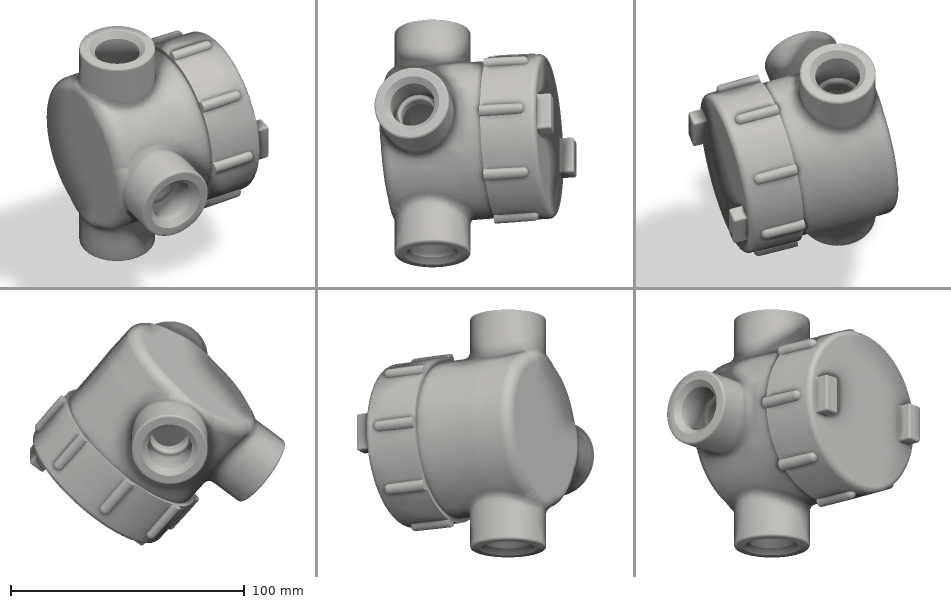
import cadquery as cq
import math


DRAFT_ANGLE = 1.0

BODY_RADIUS = 34.1
BODY_BOTTOM_Y = -17.5
BASE_EDGE_FILLET = 4.9
WALL = 3.6
NECK_RADIUS = 66.4 / 2

HUB_RADIUS = 32.5 / 2
HUB_REACH = 50.8
HUB_RIM_FILLET = 1.0
HUB_ROOT_FILLET = 3.1
HUB_BORE_RADIUS = 19.2 / 2
HUB_MOUTH_CHAMFER = 2.4
HUB_THROAT_RADIUS = 15.1 / 2
HUB_STOP_REACH = 34.5
HUB_STOP_FILLET = 1.5
LOBE_RADIUS = 20.3
LOBE_REACH = 35.7
HUB_DIRECTIONS = [(1, 0, 0), (0, 0, 1), (0, 0, -1)]

LID_RADIUS = 35.6
LID_BOTTOM_Y = 27.0
LID_PARTING_Y = 33.3
LID_TOP_Y = 50.9
LID_TOP_FILLET = 2.2
LID_TOP_THICKNESS = 3.6

RIB_COUNT = 8
RIB_RADIUS = 2.4
RIB_CENTER_RADIUS = 35.8
RIB_TOP_Y = 46.1
RIB_END_FILLET = 2.0

LUG_WIDTH = 7.3
LUG_LENGTH = 16.1
LUG_TOP_Y = 57.1
LUG_CENTER_X = 27.4
LUG_EDGE_FILLET = 0.9
LUG_ROOT_FILLET = 0.6

EDGE_SAMPLES = (0.1, 0.35, 0.65, 0.9)
ON_SURFACE = 0.01
HUB_ROOT_LIMIT = 40.6

DRAFT_SLOPE = math.tan(math.radians(DRAFT_ANGLE))
NECK_TOP_Y = LID_TOP_Y - LID_TOP_THICKNESS
CAVITY_RADIUS = NECK_RADIUS - WALL


def revolve_about_y(profile_points):
    """Revolve a closed (radius, y) outline a full turn about the Y axis."""
    return cq.Workplane("XY").polyline(profile_points).close().revolve(360, (0, 0, 0), (0, 1, 0))


def hub_plane(direction):
    """Plane at the origin whose normal runs outward along one hub."""
    return cq.Plane(origin=(0, 0, 0), xDir=(0, 1, 0), normal=direction)


def body_shell():
    """Outside of the housing, drafted both ways from the parting plane, with its neck."""
    bottom_radius = BODY_RADIUS + BODY_BOTTOM_Y * DRAFT_SLOPE
    ledge_radius = BODY_RADIUS - LID_BOTTOM_Y * DRAFT_SLOPE
    shell = revolve_about_y([
        (0, BODY_BOTTOM_Y),
        (bottom_radius, BODY_BOTTOM_Y),
        (BODY_RADIUS, 0),
        (ledge_radius, LID_BOTTOM_Y),
        (NECK_RADIUS, LID_BOTTOM_Y),
        (NECK_RADIUS, NECK_TOP_Y),
        (0, NECK_TOP_Y),
    ])
    return shell.faces("<Y").edges().fillet(BASE_EDGE_FILLET)


def hub_lobe(direction):
    """Upright swelling of the base corner that carries the wall out under one hub."""
    center = cq.Vector(*direction) * (LOBE_REACH - LOBE_RADIUS)
    lobe = cq.Workplane("XZ", origin=(center.x, 0, center.z)).circle(LOBE_RADIUS).extrude(-BODY_BOTTOM_Y)
    return lobe.faces("<Y").edges().fillet(BASE_EDGE_FILLET)


def conduit_hub(direction):
    """Solid hub from the origin outward, with a rounded rim."""
    hub = cq.Workplane(hub_plane(direction)).circle(HUB_RADIUS).extrude(HUB_REACH)
    return hub.faces(cq.DirectionMinMaxSelector(cq.Vector(*direction))).edges().fillet(HUB_RIM_FILLET)


def is_hub_root(edge, direction):
    """True for an edge on the hub's cylinder where the hub leaves the body wall."""
    axis = cq.Vector(*direction)
    for fraction in EDGE_SAMPLES:
        point = edge.positionAt(fraction)
        height = point.dot(axis)
        offset = (point - axis * height).Length
        if abs(offset - HUB_RADIUS) > ON_SURFACE or not HUB_RADIUS < height < HUB_ROOT_LIMIT:
            return False
    return True


def hub_bore(direction):
    """Cutter for one hub: chamfered mouth, bore to the conduit stop, rounded throat."""
    mouth_radius = HUB_BORE_RADIUS + HUB_MOUTH_CHAMFER
    profile = (
        cq.Workplane("XY")
        .moveTo(0, 0)
        .lineTo(HUB_THROAT_RADIUS, 0)
        .lineTo(HUB_THROAT_RADIUS, HUB_STOP_REACH - HUB_STOP_FILLET)
        .radiusArc((HUB_THROAT_RADIUS + HUB_STOP_FILLET, HUB_STOP_REACH), HUB_STOP_FILLET)
        .lineTo(HUB_BORE_RADIUS, HUB_STOP_REACH)
        .lineTo(HUB_BORE_RADIUS, HUB_REACH - HUB_MOUTH_CHAMFER)
        .lineTo(mouth_radius, HUB_REACH)
        .lineTo(0, HUB_REACH)
        .close()
    )
    bore = profile.revolve(360, (0, 0, 0), (0, 1, 0)).val()
    along_z = bore.rotate(cq.Vector(0, 0, 0), cq.Vector(1, 0, 0), 90)
    return cq.Workplane(along_z.moved(cq.Location(hub_plane(direction))))


def make_housing():
    """Hollow round box with three conduit hubs, open at the neck."""
    housing = body_shell()
    for direction in HUB_DIRECTIONS:
        housing = housing.union(hub_lobe(direction)).union(conduit_hub(direction))

    roots = [
        edge for edge in housing.edges().vals()
        if any(is_hub_root(edge, direction) for direction in HUB_DIRECTIONS)
    ]
    housing = housing.newObject(roots).fillet(HUB_ROOT_FILLET)

    cavity = revolve_about_y([
        (0, BODY_BOTTOM_Y + WALL),
        (CAVITY_RADIUS, BODY_BOTTOM_Y + WALL),
        (CAVITY_RADIUS, NECK_TOP_Y),
        (0, NECK_TOP_Y),
    ])
    housing = housing.cut(cavity)
    for direction in HUB_DIRECTIONS:
        housing = housing.cut(hub_bore(direction))
    return housing


def lid_cap():
    """Round cap, straight below its parting plane and drafted above it."""
    top_radius = LID_RADIUS - (LID_TOP_Y - LID_PARTING_Y) * DRAFT_SLOPE
    cap = revolve_about_y([
        (0, LID_BOTTOM_Y),
        (LID_RADIUS, LID_BOTTOM_Y),
        (LID_RADIUS, LID_PARTING_Y),
        (top_radius, LID_TOP_Y),
        (0, LID_TOP_Y),
    ])
    return cap.faces(">Y").edges().fillet(LID_TOP_FILLET)


def grip_rib(angle):
    """Round rib at an angle about Y, drafted above the parting plane, with a domed top."""
    top_radius = RIB_RADIUS - (RIB_TOP_Y - LID_PARTING_Y) * DRAFT_SLOPE
    rib = revolve_about_y([
        (0, LID_BOTTOM_Y),
        (RIB_RADIUS, LID_BOTTOM_Y),
        (RIB_RADIUS, LID_PARTING_Y),
        (top_radius, RIB_TOP_Y),
        (0, RIB_TOP_Y),
    ])
    rib = rib.faces(">Y").edges().fillet(RIB_END_FILLET)
    return rib.translate((RIB_CENTER_RADIUS, 0, 0)).rotate((0, 0, 0), (0, 1, 0), angle)


def wrench_lug(center_x):
    """Rounded rectangular lug that stands on the lid top."""
    height = LUG_TOP_Y - LID_TOP_Y
    seat = cq.Workplane("XZ", origin=(center_x, LID_TOP_Y, 0))
    lug = seat.rect(LUG_WIDTH, LUG_LENGTH).extrude(-height)
    lug = lug.edges("|Y or >Y").fillet(LUG_EDGE_FILLET)
    return lug


def make_lid():
    """Cap with grip ribs and wrench lugs, bored to fit over the housing neck."""
    lid = lid_cap()
    for index in range(RIB_COUNT):
        lid = lid.union(grip_rib(index * 360 / RIB_COUNT))
    for side in (-1, 1):
        lid = lid.union(wrench_lug(side * LUG_CENTER_X))
    top_face = lid.faces(cq.NearestToPointSelector((0, LID_TOP_Y, 0))).val()
    foot_edges = [edge for foot in top_face.innerWires() for edge in foot.Edges()]
    lid = lid.newObject(foot_edges).fillet(LUG_ROOT_FILLET)

    neck_bore = revolve_about_y([
        (0, LID_BOTTOM_Y),
        (NECK_RADIUS, LID_BOTTOM_Y),
        (NECK_RADIUS, NECK_TOP_Y),
        (0, NECK_TOP_Y),
    ])
    return lid.cut(neck_bore)


housing = make_housing()
lid = make_lid()
result = cq.Compound.makeCompound([housing.val(), lid.val()])